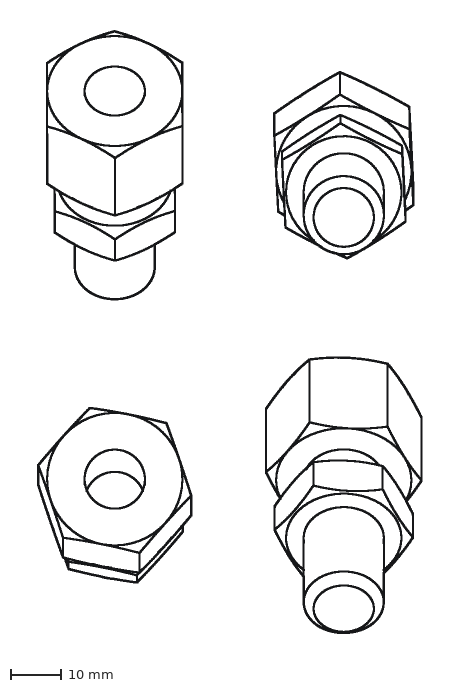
import cadquery as cq
import math

total_height = 62.0
nut_height = 22.0
stem_height = 22.0
collar_height = 10.0
nut_base = total_height - nut_height

hexagon_sides = 6
nut_flats = 27.0
collar_flats = 24.0
nut_face_diameter = nut_flats
collar_face_diameter = 23.0
corner_chamfer_angle = 30.0

shank_diameter = 16.0
shank_chamfer = 2.0
bore_diameter = 12.0


def chamfered_hexagon(flats, height, face_diameter, base):
    """Hexagonal prism, flats facing +/-X, with its corners cut by a cone at each end."""
    corner_radius = flats / math.sqrt(3)
    face_radius = face_diameter / 2
    cone_height = (corner_radius - face_radius) * math.tan(math.radians(corner_chamfer_angle))
    prism = (
        cq.Workplane("XY")
        .polygon(hexagon_sides, 2 * corner_radius)
        .extrude(height)
        .rotate((0, 0, 0), (0, 0, 1), 180 / hexagon_sides)
    )
    envelope = (
        cq.Workplane("XZ")
        .lineTo(face_radius, 0)
        .lineTo(corner_radius, cone_height)
        .lineTo(corner_radius, height - cone_height)
        .lineTo(face_radius, height)
        .lineTo(0, height)
        .close()
        .revolve(360, (0, 0, 0), (0, 1, 0))
    )
    return prism.intersect(envelope).translate((0, 0, base))


def make_nut():
    """Hexagonal cap nut with a bore running through it."""
    nut = chamfered_hexagon(nut_flats, nut_height, nut_face_diameter, nut_base)
    return nut.faces(">Z").workplane().hole(bore_diameter)


def make_stud():
    """Round shank with a hexagonal collar, its top face closing the bore of the nut."""
    shank = (
        cq.Workplane("XY")
        .circle(shank_diameter / 2)
        .extrude(nut_base)
        .faces("<Z")
        .chamfer(shank_chamfer)
    )
    collar = chamfered_hexagon(collar_flats, collar_height, collar_face_diameter, stem_height)
    return shank.union(collar)


nut = make_nut()
stud = make_stud()
result = cq.Compound.makeCompound([nut.val(), stud.val()])